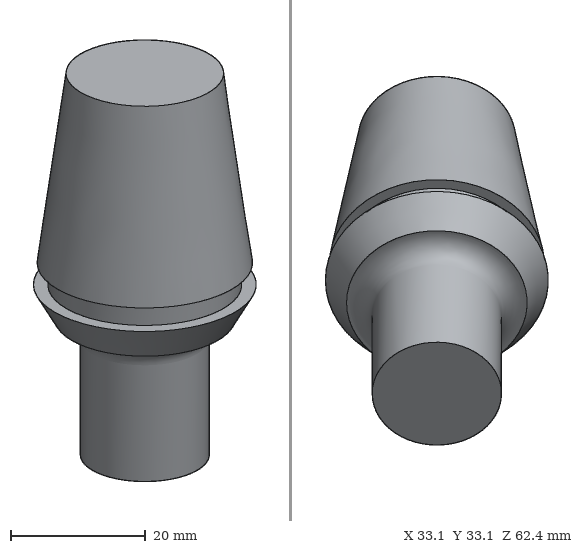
import cadquery as cq

shank_diameter = 19.2
collar_bottom_diameter = 26.8
collar_top_diameter = 33.1
neck_diameter = 28.8
head_bottom_diameter = 32.0
head_top_diameter = 23.4

total_height = 62.4
shank_length = 19.0
shank_fillet_radius = 3.3
collar_height = 5.5
neck_length = 3.6

collar_bottom_z = shank_length + shank_fillet_radius
collar_top_z = collar_bottom_z + collar_height
head_bottom_z = collar_top_z + neck_length

shank_radius = shank_diameter / 2
fillet_outer_radius = shank_radius + shank_fillet_radius


def half_profile():
    """Closed outline in the XZ plane: distance from the axis against height."""
    return (
        cq.Workplane("XZ")
        .lineTo(shank_radius, 0)
        .lineTo(shank_radius, shank_length)
        .radiusArc((fillet_outer_radius, collar_bottom_z), shank_fillet_radius)
        .lineTo(collar_bottom_diameter / 2, collar_bottom_z)
        .lineTo(collar_top_diameter / 2, collar_top_z)
        .lineTo(neck_diameter / 2, collar_top_z)
        .lineTo(neck_diameter / 2, head_bottom_z)
        .lineTo(head_bottom_diameter / 2, head_bottom_z)
        .lineTo(head_top_diameter / 2, total_height)
        .lineTo(0, total_height)
        .close()
    )


result = half_profile().revolve(360, (0, 0, 0), (0, 1, 0))